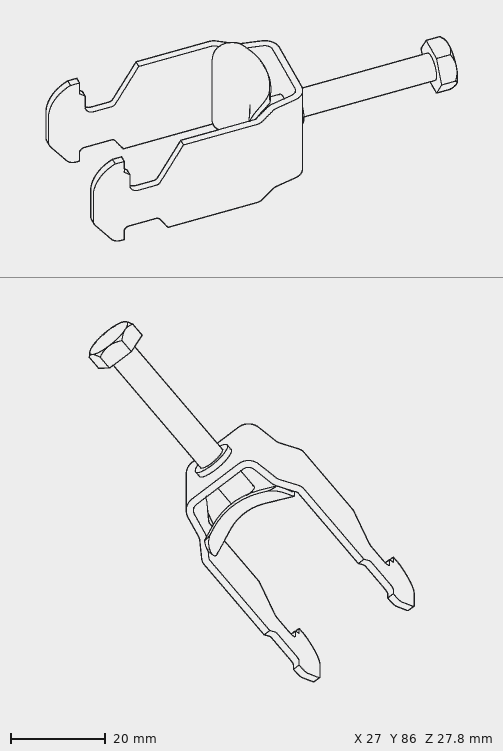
import cadquery as cq
import math


strap_width = 27.0
strap_height = 23.05
strap_thickness = 1.55
strap_back = 50.1
neck_half_width = 9.0
waist_half_width = 10.6
waist_y = 42.3
shoulder_y = 37.8
neck_bend_radius = 3.35
waist_bend_radius = 2.15
shoulder_bend_radius = 2.5

hook_neck_y = 7.05
upper_floor_z = 1.9
upper_slope_start_y = 20.5
upper_slope_end_y = 14.9
catch_y = 8.3
catch_bottom_z = 7.1
catch_top_z = 8.3
catch_floor_radius = 2.0
lower_floor_z = -7.9
lower_slope_start_y = 16.9
lower_slope_end_y = 14.8
notch_corner_radius = 1.0
nose_start_y = 5.0
nose_end_z = 4.0
ramp_top_z = -4.3
ramp_bottom_y = 4.9
ramp_radius = 2.75

total_length = 86.0
shank_diameter = 6.0
collar_diameter = 8.8
collar_height = 1.3
head_height = 3.95
head_across_flats = 10.2

saddle_front_y = 40.1
saddle_height = 27.8
saddle_sheet = 1.0
saddle_arc_radius = 11.2
saddle_wing_angle = 24.0
saddle_wing_length = 6.45
saddle_flat_height = 16.85
rim_radius = 5.7
rim_curl = math.asin((saddle_height - saddle_flat_height) / 2 / rim_radius)
saddle_corner_radius = 5.2


def make_strap_band():
    """Bent sheet seen along Z: straight legs, shoulders, waist and a flat back."""
    half_width = strap_width / 2
    right_side = [
        (half_width, 0),
        (half_width, shoulder_y),
        (waist_half_width, waist_y),
        (neck_half_width, strap_back),
    ]
    left_side = [(-x, y) for x, y in reversed(right_side)]
    block = (
        cq.Workplane("XY")
        .workplane(offset=-strap_height / 2)
        .polyline(right_side + left_side)
        .close()
        .extrude(strap_height)
    )
    bends = [
        (half_width, shoulder_y, shoulder_bend_radius),
        (waist_half_width, waist_y, waist_bend_radius),
        (neck_half_width, strap_back, neck_bend_radius),
    ]
    for x, y, radius in bends:
        for side in (-1, 1):
            block = block.edges(cq.NearestToPointSelector((side * x, y, 0))).fillet(radius)
    return block.faces("<Y or >Z or <Z").shell(-strap_thickness)


def make_leg_outline():
    """Hooked outline of the legs in the YZ plane, extruded across the whole strap."""
    top = strap_height / 2
    nose_rise = top - nose_end_z
    nose_radius = (nose_start_y**2 + nose_rise**2) / (2 * nose_start_y)
    outline = (
        cq.Workplane("YZ")
        .workplane(offset=-strap_width)
        .moveTo(strap_back, top)
        .lineTo(upper_slope_start_y, top)
        .lineTo(upper_slope_end_y, upper_floor_z)
        .lineTo(catch_y, upper_floor_z)
        .lineTo(catch_y, catch_bottom_z)
        .lineTo(hook_neck_y, catch_top_z)
        .lineTo(hook_neck_y, top)
        .lineTo(nose_start_y, top)
        .radiusArc((0, nose_end_z), -nose_radius)
        .lineTo(0, ramp_top_z)
        .lineTo(ramp_bottom_y, -top)
        .lineTo(hook_neck_y, -top)
        .lineTo(hook_neck_y, lower_floor_z)
        .lineTo(lower_slope_end_y, lower_floor_z)
        .lineTo(lower_slope_start_y, -top)
        .lineTo(strap_back, -top)
        .close()
        .extrude(2 * strap_width)
    )
    rounded_corners = [
        (upper_slope_end_y, upper_floor_z, notch_corner_radius),
        (catch_y, upper_floor_z, catch_floor_radius),
        (lower_slope_end_y, lower_floor_z, notch_corner_radius),
        (hook_neck_y, lower_floor_z, notch_corner_radius),
        (0, ramp_top_z, ramp_radius),
        (ramp_bottom_y, -top, ramp_radius),
    ]
    for y, z, radius in rounded_corners:
        outline = outline.edges(cq.NearestToPointSelector((0, y, z))).fillet(radius)
    return outline


def rod(diameter, y_start, y_end):
    """Cylinder on the screw axis between two Y positions."""
    return cq.Workplane("XZ", origin=(0, y_start, 0)).circle(diameter / 2).extrude(y_start - y_end)


def make_strap():
    strap = make_strap_band().intersect(make_leg_outline())
    strap = strap.union(rod(collar_diameter, strap_back, strap_back + collar_height))
    screw_hole = rod(shank_diameter, strap_back - 2 * strap_thickness, strap_back + 2 * collar_height)
    return strap.cut(screw_hole)


def make_head():
    """Hexagon head with two corners on the X axis and a 45 degree conical chamfer at its outer end."""
    across_corners = head_across_flats / math.cos(math.pi / 6)
    head_start = total_length - head_height
    hexagon = (
        cq.Workplane("XZ", origin=(0, head_start, 0))
        .polygon(6, across_corners)
        .extrude(-head_height)
    )
    chamfer_width = (across_corners - head_across_flats) / 2
    envelope = (
        rod(across_corners, head_start, total_length)
        .faces(">Y")
        .chamfer(chamfer_width)
    )
    return hexagon.intersect(envelope)


def rim_point(radius, angle, side):
    """Depth and height of a point on a rim arc; the angle is 0 where the arc leaves the flat."""
    depth = saddle_arc_radius + rim_radius - radius * math.cos(angle)
    height = saddle_flat_height / 2 + radius * math.sin(angle)
    return (depth, side * height)


def make_saddle_section():
    """Closed sheet section in the YZ plane, front face at the arch radius, rims curled to +Y."""
    inner_radius = rim_radius - saddle_sheet
    half_curl = rim_curl / 2
    return (
        cq.Workplane("YZ")
        .moveTo(*rim_point(rim_radius, 0, -1))
        .lineTo(*rim_point(rim_radius, 0, 1))
        .threePointArc(rim_point(rim_radius, half_curl, 1), rim_point(rim_radius, rim_curl, 1))
        .lineTo(*rim_point(inner_radius, rim_curl, 1))
        .threePointArc(rim_point(inner_radius, half_curl, 1), rim_point(inner_radius, 0, 1))
        .lineTo(*rim_point(inner_radius, 0, -1))
        .threePointArc(rim_point(inner_radius, half_curl, -1), rim_point(inner_radius, rim_curl, -1))
        .lineTo(*rim_point(rim_radius, rim_curl, -1))
        .threePointArc(rim_point(rim_radius, half_curl, -1), rim_point(rim_radius, 0, -1))
        .close()
    )


def make_corner_cutter():
    """Waste outside the rounded upper corner of a wing, square to the chord of the rim arc."""
    depth, height = rim_point(rim_radius, rim_curl, 1)
    across_chord = (0, -math.cos(rim_curl / 2), math.sin(rim_curl / 2))
    corner_plane = cq.Plane(origin=(saddle_wing_length, depth, height), xDir=(1, 0, 0), normal=across_chord)
    radius = saddle_corner_radius
    arc_middle = radius * (math.sqrt(0.5) - 1)
    return (
        cq.Workplane(corner_plane)
        .moveTo(-radius, 0)
        .threePointArc((arc_middle, arc_middle), (0, -radius))
        .lineTo(radius, -radius)
        .lineTo(radius, radius)
        .lineTo(-radius, radius)
        .close()
        .extrude(rim_radius, both=True)
    )


def make_saddle():
    """Arched middle with a flat wing on each side, made around the arch axis and then placed."""
    axis_start = (0, 0, 0)
    axis_end = (0, 0, 1)
    middle = (
        make_saddle_section()
        .revolve(2 * saddle_wing_angle, (0, 0), (0, 1))
        .rotate(axis_start, axis_end, -saddle_wing_angle)
    )
    corner_cutter = make_corner_cutter()
    right_wing = (
        make_saddle_section()
        .extrude(saddle_wing_length)
        .cut(corner_cutter)
        .cut(corner_cutter.mirror("XY"))
        .rotate(axis_start, axis_end, -saddle_wing_angle)
    )
    saddle = middle.union(right_wing).union(right_wing.mirror("YZ"))
    return saddle.translate((0, saddle_front_y - saddle_arc_radius, 0))


def make_screw():
    shank = rod(shank_diameter, saddle_front_y + saddle_sheet / 2, total_length - head_height)
    return make_saddle().union(shank).union(make_head())


strap = make_strap()
screw = make_screw()

result = cq.Compound.makeCompound([strap.solids().val(), screw.solids().val()])